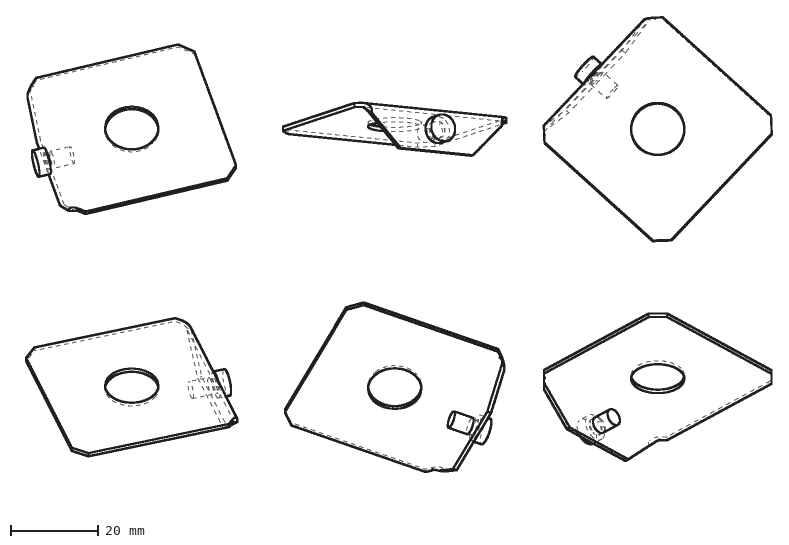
import cadquery as cq

plate_side = 40.0
sheet = 1.0
total_height = 10.0
bend_outer = 2.0
bend_inner = bend_outer - sheet
corner_chamfer = 3.0
hole_diameter = 12.2

flange_bottom_width = 19.1

pin_depth = 5.0
head_diameter = 6.28
shank_diameter = 4.0
head_length = 2.7
head_gap = 0.3
shank_length = 5.7

half_side = plate_side / 2
front_face = -half_side


def bent_sheet():
    """Plate and flange joined by a quarter-round bend, extruded along X."""
    bend_y = front_face + bend_outer
    diagonal = 0.5 ** 0.5
    profile = (
        cq.Workplane("YZ", origin=(-half_side, 0, 0))
        .moveTo(half_side, 0)
        .lineTo(bend_y, 0)
        .threePointArc(
            (bend_y - bend_outer * diagonal, -bend_outer + bend_outer * diagonal),
            (front_face, -bend_outer),
        )
        .lineTo(front_face, -total_height)
        .lineTo(front_face + sheet, -total_height)
        .lineTo(front_face + sheet, -bend_outer)
        .threePointArc(
            (bend_y - bend_inner * diagonal, -bend_outer + bend_inner * diagonal),
            (bend_y, -sheet),
        )
        .lineTo(half_side, -sheet)
        .close()
    )
    return profile.extrude(plate_side)


def plan_envelope():
    """Square with four chamfered corners, as deep as the part."""
    return (
        cq.Workplane("XY")
        .rect(plate_side, plate_side)
        .extrude(-total_height)
        .edges("|Z")
        .chamfer(corner_chamfer)
    )


def flange_envelope():
    """Full width through the sheet thickness, then a trapezoid below it."""
    half_bottom = flange_bottom_width / 2
    half_top = half_bottom + total_height - sheet
    right_side = [
        (half_side, 0),
        (half_side, -sheet),
        (half_top, -sheet),
        (half_bottom, -total_height),
    ]
    left_side = [(-x, z) for x, z in reversed(right_side)]
    return (
        cq.Workplane("XZ")
        .polyline(right_side + left_side)
        .close()
        .extrude(half_side, both=True)
    )


def pin():
    """Headed pin standing slightly clear of the flange face."""
    head_back = front_face - head_gap
    base = cq.Workplane("XZ", origin=(0, head_back, -pin_depth))
    head = base.circle(head_diameter / 2).extrude(head_length)
    shank = base.circle(shank_diameter / 2).extrude(-(shank_length + head_gap))
    return head.union(shank)


plate = bent_sheet().intersect(plan_envelope()).intersect(flange_envelope())
plate = plate.cut(cq.Workplane("XY").circle(hole_diameter / 2).extrude(-sheet))

result = plate.union(pin())